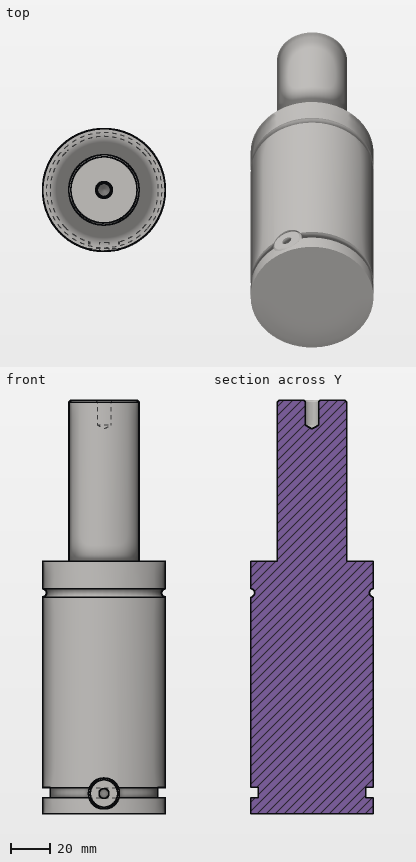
import cadquery as cq

total_height = 212.0
body_diameter = 63.0
body_height = 129.5
rod_diameter = 36.0
rod_chamfer = 1.0

upper_groove_bottom = 111.0
upper_groove_top = 115.3
upper_groove_depth = 2.0

lower_groove_bottom = 8.3
lower_groove_top = 13.4
lower_groove_depth = 3.8

rod_hole_diameter = 6.8
rod_hole_mouth_diameter = 8.5
rod_hole_depth = 12.7
drill_point_height = 2.0

plug_diameter = 16.0
plug_face_diameter = 14.0
plug_height = 10.4
plug_length = 8.5
plug_face_offset = 31.0
plug_hole_diameter = 5.0
plug_hole_depth = 4.2

body_radius = body_diameter / 2
rod_radius = rod_diameter / 2


def make_cylinder_and_rod():
    """Revolve the outer profile of the body and rod about Z."""
    lower_groove_radius = body_radius - lower_groove_depth
    upper_groove_radius = body_radius - upper_groove_depth
    upper_groove_middle = (upper_groove_bottom + upper_groove_top) / 2
    return (
        cq.Workplane("XZ")
        .lineTo(body_radius, 0)
        .lineTo(body_radius, lower_groove_bottom)
        .lineTo(lower_groove_radius, lower_groove_bottom)
        .lineTo(lower_groove_radius, lower_groove_top)
        .lineTo(body_radius, lower_groove_top)
        .lineTo(body_radius, upper_groove_bottom)
        .threePointArc((upper_groove_radius, upper_groove_middle), (body_radius, upper_groove_top))
        .lineTo(body_radius, body_height)
        .lineTo(rod_radius, body_height)
        .lineTo(rod_radius, total_height - rod_chamfer)
        .lineTo(rod_radius - rod_chamfer, total_height)
        .lineTo(0, total_height)
        .close()
        .revolve(360, (0, 0), (0, 1))
    )


def make_rod_hole():
    """Blind hole with a chamfered mouth and a conical drill point."""
    hole_radius = rod_hole_diameter / 2
    mouth_radius = rod_hole_mouth_diameter / 2
    mouth_chamfer = mouth_radius - hole_radius
    hole_bottom = total_height - rod_hole_depth
    return (
        cq.Workplane("XZ")
        .moveTo(0, total_height)
        .lineTo(mouth_radius, total_height)
        .lineTo(hole_radius, total_height - mouth_chamfer)
        .lineTo(hole_radius, hole_bottom)
        .lineTo(0, hole_bottom - drill_point_height)
        .close()
        .revolve(360, (0, 0), (0, 1))
    )


def y_cylinder(diameter, outer_offset, length):
    """Cylinder on the plug axis, running inward from its outer end on the -Y side."""
    return (
        cq.Workplane("XZ", origin=(0, -outer_offset, plug_height))
        .circle(diameter / 2)
        .extrude(-length)
    )


def make_plug():
    """Plug with a chamfered rim and a blind hole in its flat face."""
    plug_chamfer = (plug_diameter - plug_face_diameter) / 2
    plug = y_cylinder(plug_diameter, plug_face_offset, plug_length).faces("<Y").chamfer(plug_chamfer)
    return plug.cut(y_cylinder(plug_hole_diameter, plug_face_offset, plug_hole_depth))


plug_inner_offset = plug_face_offset - plug_length
plug_seat = y_cylinder(plug_diameter, body_radius, body_radius - plug_inner_offset)

result = make_cylinder_and_rod().cut(make_rod_hole()).cut(plug_seat).union(make_plug())